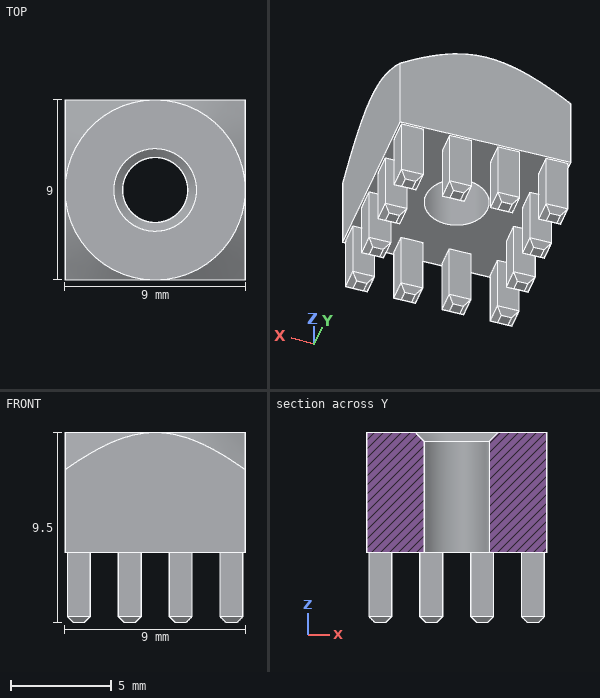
import cadquery as cq

body_width = 9.0
body_height = 6.0

crown_diameter = body_width

hole_diameter = 3.24
countersink_diameter = 4.13

pin_width = 1.15
pin_length = 3.5
pin_tip_chamfer = 0.3
pin_pitch = 2.54
pins_per_side = 4


def make_body():
    """Square block, its bottom face on Z = 0, with the corners turned down by a cone."""
    block = cq.Workplane("XY").box(body_width, body_width, body_height, centered=(True, True, False))
    top_radius = crown_diameter / 2
    bottom_radius = top_radius + body_height
    cone = cq.Workplane("XY").add(cq.Solid.makeCone(bottom_radius, top_radius, body_height))
    return block.intersect(cone)


def make_hole():
    """Through hole with its countersink."""
    hole_radius = hole_diameter / 2
    countersink_radius = countersink_diameter / 2
    countersink_depth = countersink_radius - hole_radius
    bore = cq.Workplane("XY").circle(hole_radius).extrude(body_height)
    countersink = cq.Solid.makeCone(
        hole_radius,
        countersink_radius,
        countersink_depth,
        pnt=cq.Vector(0, 0, body_height - countersink_depth),
    )
    return bore.union(cq.Workplane("XY").add(countersink))


def pin_positions():
    """Centers of the pins in the outer ring of the square grid."""
    last = pins_per_side - 1
    ends = (0, last)
    return [
        ((column - last / 2) * pin_pitch, (row - last / 2) * pin_pitch)
        for column in range(pins_per_side)
        for row in range(pins_per_side)
        if column in ends or row in ends
    ]


def make_pins():
    """Square pins below the body, chamfered around their tips."""
    return (
        cq.Workplane("XY")
        .pushPoints(pin_positions())
        .rect(pin_width, pin_width)
        .extrude(-pin_length)
        .faces("<Z")
        .chamfer(pin_tip_chamfer)
    )


result = make_body().cut(make_hole()).union(make_pins())